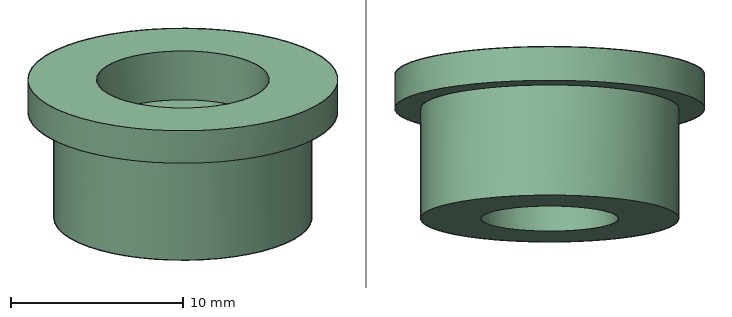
import cadquery as cq

flange_diameter = 18.0
flange_thickness = 2.0
body_diameter = 15.0
total_height = 8.5
top_recess_diameter = 10.0
top_recess_depth = 3.0
hole_diameter = 4.5
web_thickness = 1.5
bottom_recess_diameter = 8.0

body_height = total_height - flange_thickness
bottom_recess_depth = total_height - top_recess_depth - web_thickness


def cylinder(diameter, height, base_z):
    """Upright cylinder on the Z axis, standing at base_z."""
    return cq.Workplane("XY").workplane(offset=base_z).circle(diameter / 2).extrude(height)


body = cylinder(body_diameter, body_height, 0)
flange = cylinder(flange_diameter, flange_thickness, body_height)

top_recess = cylinder(top_recess_diameter, top_recess_depth, total_height - top_recess_depth)
bottom_recess = cylinder(bottom_recess_diameter, bottom_recess_depth, 0)
hole = cylinder(hole_diameter, total_height, 0)

result = body.union(flange).cut(top_recess).cut(bottom_recess).cut(hole)